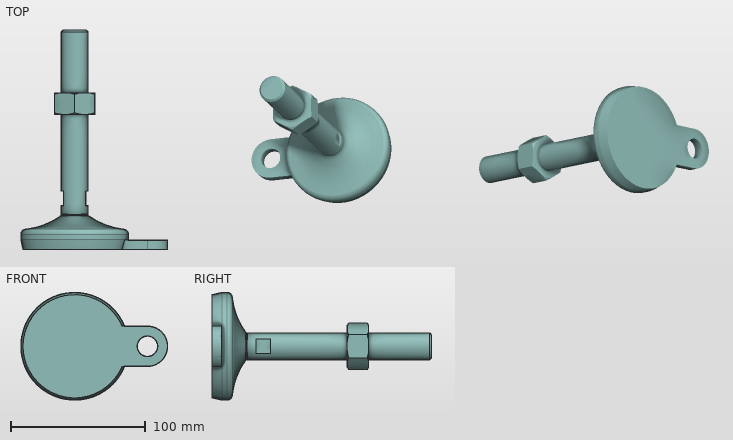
import cadquery as cq
import math

total_length = 163.0

pad_radius = 40.02
sole_radius = 38.3
skirt_height = 7.5
rim_height = 11.1
rim_fillet = 4.0
shoulder_radius = pad_radius - rim_fillet
shoulder_height = rim_height + rim_fillet
neck_radius = 10.5
neck_height = 25.0
flare_mid_radius = 20.7
flare_mid_height = 19.2
neck_rounding = 1.1
pad_height = 25.3

lug_radius = 15.0
lug_center_x = 54.03
lug_thickness = 7.0
lug_hole_diameter = 15.0

spindle_diameter = 20.0
spindle_start = 26.0
tip_chamfer = 1.5
pin_diameter = 10.0
flats_width = 16.8
flats_start = 32.6
flats_length = 10.8

nut_across_flats = 30.0
nut_start = 100.4
nut_thickness = 16.0
bevel_length = 1.1
bevel_depth = 2.0


def cylinder(diameter, start, length):
    """Cylinder on the Y axis, growing in +Y from the given position."""
    base = cq.Workplane("XZ", origin=(0, start, 0))
    return base.circle(diameter / 2).extrude(-length)


def make_pad():
    """Turned pad with a tapered skirt, rounded rim and concave flare."""
    fillet_offset = rim_fillet * math.sqrt(0.5)
    return (
        cq.Workplane("XY")
        .lineTo(sole_radius, 0)
        .lineTo(pad_radius, skirt_height)
        .lineTo(pad_radius, rim_height)
        .threePointArc(
            (shoulder_radius + fillet_offset, rim_height + fillet_offset),
            (shoulder_radius, shoulder_height),
        )
        .threePointArc((flare_mid_radius, flare_mid_height), (neck_radius, neck_height))
        .tangentArcPoint((neck_radius - neck_rounding, pad_height), relative=False)
        .lineTo(0, pad_height)
        .close()
        .revolve(360, (0, 0, 0), (0, 1, 0))
    )


def make_lug():
    """Flat tongue with a round end, running from the pad center toward +X."""
    sketch_plane = cq.Workplane("XZ")
    tongue = sketch_plane.center(lug_center_x / 2, 0).rect(lug_center_x, 2 * lug_radius)
    tongue = tongue.extrude(-lug_thickness)
    round_end = sketch_plane.center(lug_center_x, 0).circle(lug_radius).extrude(-lug_thickness)
    hole = sketch_plane.center(lug_center_x, 0).circle(lug_hole_diameter / 2)
    return tongue.union(round_end).cut(hole.extrude(-lug_thickness))


def make_spindle():
    """Rod with a chamfered tip and two wrench flats facing -X and +X."""
    rod = cylinder(spindle_diameter, spindle_start, total_length - spindle_start)
    rod = rod.faces(">Y").chamfer(tip_chamfer)
    flats_middle = flats_start + flats_length / 2
    for side in (-1, 1):
        cutter = cq.Workplane("XY").box(spindle_diameter, flats_length, spindle_diameter)
        cutter_x = side * (flats_width + spindle_diameter) / 2
        rod = rod.cut(cutter.translate((cutter_x, flats_middle, 0)))
    return rod


def make_nut():
    """Hexagon with corners on the Z axis, beveled at both ends."""
    across_corners = nut_across_flats / math.cos(math.pi / 6)
    hexagon = (
        cq.Workplane("XZ", origin=(0, nut_start, 0))
        .polygon(6, across_corners)
        .extrude(-nut_thickness)
        .rotate((0, 0, 0), (0, 1, 0), 30)
    )
    outer_radius = across_corners / 2
    face_radius = outer_radius - bevel_depth
    nut_end = nut_start + nut_thickness
    bevel = (
        cq.Workplane("XY")
        .moveTo(0, nut_start)
        .lineTo(face_radius, nut_start)
        .lineTo(outer_radius, nut_start + bevel_length)
        .lineTo(outer_radius, nut_end - bevel_length)
        .lineTo(face_radius, nut_end)
        .lineTo(0, nut_end)
        .close()
        .revolve(360, (0, 0, 0), (0, 1, 0))
    )
    return hexagon.intersect(bevel)


pin = cylinder(pin_diameter, neck_height, spindle_start - neck_height)

result = make_pad().union(make_lug()).union(pin).union(make_spindle()).union(make_nut())